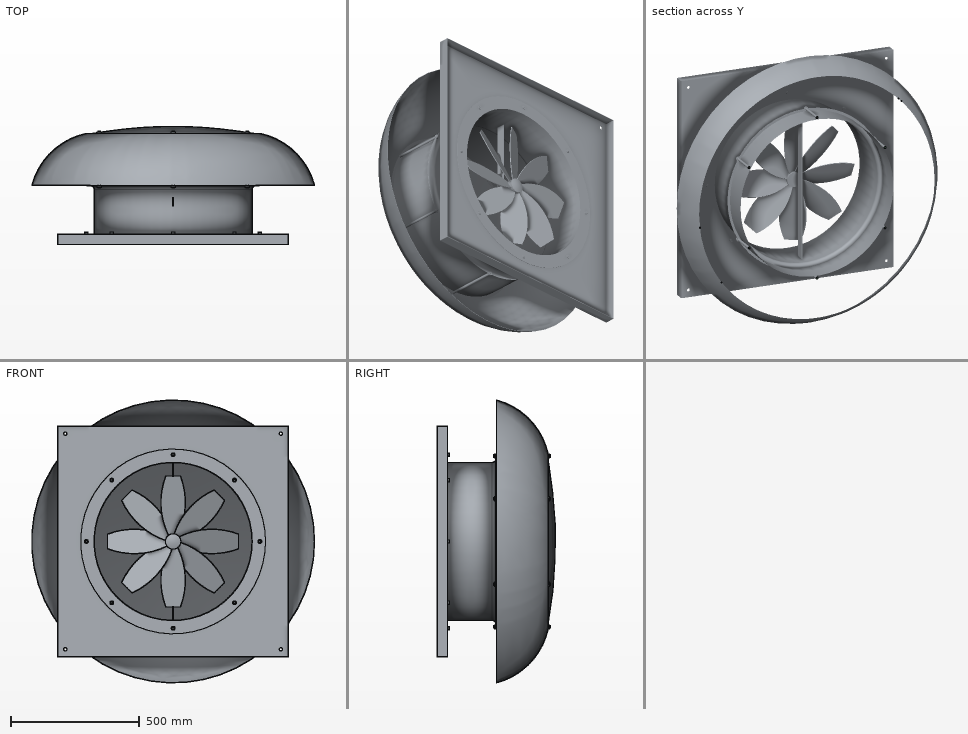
import cadquery as cq
import math


SHEET = 1.5

BASE_SIDE = 900.0
BASE_HEIGHT = 41.5
CORNER_HOLE_DIAMETER = 12.0
CORNER_HOLE_SPACING = 840.0

DUCT_RADIUS = 308.5
DUCT_BORE_RADIUS = DUCT_RADIUS - SHEET
FOOT_RADIUS = 360.0
FOOT_TOP = BASE_HEIGHT - SHEET
FLARE_START = 214.5
FLARE_OUTER_RADIUS = 14.0
OUTLET_TOP = FLARE_START + FLARE_OUTER_RADIUS + SHEET
OUTLET_RADIUS = 335.0

HOOD_LIP_RADIUS = 551.445
HOOD_LIP_Y = 231.0
HOOD_MID_RADIUS = 450.0
HOOD_MID_Y = 383.0
HOOD_TOP_RADIUS = 337.0
HOOD_TOP_Y = 434.0
DOME_RADIUS = 314.0
HOOD_OPENING_RADIUS = 310.0
TOTAL_HEIGHT = 462.4

GUARD_RADIUS = 325.0
ROD_COUNT = 6
ROD_CIRCLE_RADIUS = 333.0
ROD_DIAMETER = 10.0
NUT_DIAMETER = 17.0
NUT_HEIGHT = 5.0
ROD_END_LENGTH = 3.0

FOOT_BOLT_COUNT = 8
FOOT_BOLT_CIRCLE_RADIUS = 338.0
FOOT_BOLT_DIAMETER = 13.0
FOOT_BOLT_HEIGHT = 7.0
FOOT_BOLT_HEAD_DIAMETER = 15.0
FOOT_BOLT_HEAD_HEIGHT = 3.0
FOOT_BOLT_END_DIAMETER = 8.0
FOOT_BOLT_END_LENGTH = 3.0

STRUT_START = 150.0
STRUT_WIDTH = 34.0
STRUT_THICKNESS = 4.0

BLADE_COUNT = 8
BLADE_PITCH = 30.0
BLADE_THICKNESS = 3.0
BLADE_TIP_RADIUS = 255.0
BLADE_TIP_HALF_WIDTH = 33.0
BLADE_MID_RADIUS = 120.0
BLADE_MID_HALF_WIDTH = 53.0
BLADE_ROOT_RADIUS = 24.0
BLADE_ROOT_HALF_WIDTH = 21.0
HUB_RADIUS = 30.0
HUB_FRONT = 75.0
HUB_NOSE_HEIGHT = 6.0
HUB_LENGTH = 36.0


def revolve_about_y(profile):
    """Turn a closed (radius, Y) profile about the Y axis."""
    return profile.close().revolve(360, (0, 0, 0), (0, 1, 0))


def cylinder(radius, start, end):
    """Solid cylinder on the Y axis from Y = start to Y = end."""
    return cq.Workplane("XZ", origin=(0, start, 0)).circle(radius).extrude(start - end)


def ring(outer_radius, inner_radius, start, end):
    """Flat ring or tube on the Y axis."""
    return cylinder(outer_radius, start, end).cut(cylinder(inner_radius, start, end))


def around_axis(body, count, radius):
    """Copies of an on-axis body, evenly spaced on a circle, the first one on +Z."""
    copies = []
    for index in range(count):
        angle = index * 360.0 / count
        copies.append(body.translate((0, 0, radius)).rotate((0, 0, 0), (0, 1, 0), angle))
    return copies


def make_base():
    tray = cq.Workplane("XY").box(BASE_SIDE, BASE_HEIGHT, BASE_SIDE, centered=(True, False, True))
    cavity_side = BASE_SIDE - 2 * SHEET
    cavity = cq.Workplane("XY").box(cavity_side, FOOT_TOP, cavity_side, centered=(True, False, True))
    holes = (
        cq.Workplane("XZ")
        .rect(CORNER_HOLE_SPACING, CORNER_HOLE_SPACING, forConstruction=True)
        .vertices()
        .circle(CORNER_HOLE_DIAMETER / 2)
        .extrude(-BASE_HEIGHT)
    )
    return tray.cut(cavity).cut(holes).cut(cylinder(DUCT_BORE_RADIUS, 0, BASE_HEIGHT))


def make_duct():
    foot = ring(FOOT_RADIUS, DUCT_BORE_RADIUS, FOOT_TOP - SHEET, FOOT_TOP)
    flare_center_radius = DUCT_RADIUS + FLARE_OUTER_RADIUS
    flare_inner_radius = FLARE_OUTER_RADIUS + SHEET
    diagonal = math.sqrt(0.5)
    wall = revolve_about_y(
        cq.Workplane("XY")
        .moveTo(DUCT_BORE_RADIUS, FOOT_TOP - SHEET)
        .lineTo(DUCT_RADIUS, FOOT_TOP - SHEET)
        .lineTo(DUCT_RADIUS, FLARE_START)
        .threePointArc(
            (
                flare_center_radius - FLARE_OUTER_RADIUS * diagonal,
                FLARE_START + FLARE_OUTER_RADIUS * diagonal,
            ),
            (flare_center_radius, OUTLET_TOP - SHEET),
        )
        .lineTo(OUTLET_RADIUS, OUTLET_TOP - SHEET)
        .lineTo(OUTLET_RADIUS, OUTLET_TOP)
        .lineTo(flare_center_radius, OUTLET_TOP)
        .threePointArc(
            (
                flare_center_radius - flare_inner_radius * diagonal,
                FLARE_START + flare_inner_radius * diagonal,
            ),
            (DUCT_BORE_RADIUS, FLARE_START),
        )
    )
    return wall.union(foot)


def make_foot_bolts():
    foot_face = FOOT_TOP - SHEET
    head_face = foot_face - FOOT_BOLT_HEAD_HEIGHT
    bolt = cylinder(FOOT_BOLT_DIAMETER / 2, foot_face, BASE_HEIGHT + FOOT_BOLT_HEIGHT)
    bolt = bolt.union(cylinder(FOOT_BOLT_HEAD_DIAMETER / 2, head_face, foot_face))
    bolt = bolt.union(cylinder(FOOT_BOLT_END_DIAMETER / 2, head_face - FOOT_BOLT_END_LENGTH, head_face))
    return around_axis(bolt, FOOT_BOLT_COUNT, FOOT_BOLT_CIRCLE_RADIUS)


def make_strut():
    return (
        cq.Workplane("XY", origin=(0, STRUT_START, 0))
        .box(STRUT_THICKNESS, STRUT_WIDTH, 2 * DUCT_RADIUS, centered=(True, False, True))
    )


def make_hood():
    shell = revolve_about_y(
        cq.Workplane("XY")
        .moveTo(HOOD_LIP_RADIUS, HOOD_LIP_Y)
        .threePointArc((HOOD_MID_RADIUS, HOOD_MID_Y), (HOOD_TOP_RADIUS, HOOD_TOP_Y))
        .lineTo(HOOD_OPENING_RADIUS, HOOD_TOP_Y)
        .lineTo(HOOD_OPENING_RADIUS, HOOD_TOP_Y - SHEET)
        .lineTo(HOOD_TOP_RADIUS, HOOD_TOP_Y - SHEET)
        .threePointArc(
            (HOOD_MID_RADIUS - SHEET, HOOD_MID_Y - SHEET),
            (HOOD_LIP_RADIUS - SHEET, HOOD_LIP_Y),
        )
    )
    return shell.union(make_dome())


def make_dome():
    """Shallow spherical cap that closes the round opening in the hood's top."""
    rise = TOTAL_HEIGHT - HOOD_TOP_Y
    sphere_radius = (DOME_RADIUS**2 + rise**2) / (2 * rise)
    center = cq.Vector(0, TOTAL_HEIGHT - sphere_radius, 0)
    outside = cq.Workplane("XY").sphere(sphere_radius).translate(center)
    inside = cq.Workplane("XY").sphere(sphere_radius - SHEET).translate(center)
    slab = cylinder(DOME_RADIUS, HOOD_TOP_Y - SHEET, TOTAL_HEIGHT)
    return slab.intersect(outside).cut(inside)


def make_guard():
    return ring(GUARD_RADIUS, GUARD_RADIUS - SHEET, OUTLET_TOP - SHEET, HOOD_TOP_Y)


def make_tie_rods():
    """Rods from the duct outlet to the hood, with a nut at each end."""
    lower_face = OUTLET_TOP - SHEET
    nut_bottom = lower_face - NUT_HEIGHT
    nut_top = HOOD_TOP_Y + NUT_HEIGHT
    rod = cylinder(ROD_DIAMETER / 2, nut_bottom - ROD_END_LENGTH, nut_top + ROD_END_LENGTH)
    rod = rod.union(cylinder(NUT_DIAMETER / 2, nut_bottom, lower_face))
    rod = rod.union(cylinder(NUT_DIAMETER / 2, HOOD_TOP_Y - SHEET, nut_top))
    return around_axis(rod, ROD_COUNT, ROD_CIRCLE_RADIUS)


def make_housing():
    housing = make_base()
    parts = [make_duct(), make_strut(), make_guard(), make_hood()]
    for part in parts + make_foot_bolts() + make_tie_rods():
        housing = housing.union(part)
    return housing


def make_blade():
    """Flat blade along +Z, turned about its own length by the pitch angle."""
    return (
        cq.Workplane("XZ")
        .moveTo(-BLADE_ROOT_HALF_WIDTH, BLADE_ROOT_RADIUS)
        .threePointArc(
            (-BLADE_MID_HALF_WIDTH, BLADE_MID_RADIUS),
            (-BLADE_TIP_HALF_WIDTH, BLADE_TIP_RADIUS),
        )
        .lineTo(BLADE_TIP_HALF_WIDTH, BLADE_TIP_RADIUS)
        .threePointArc(
            (BLADE_MID_HALF_WIDTH, BLADE_MID_RADIUS),
            (BLADE_ROOT_HALF_WIDTH, BLADE_ROOT_RADIUS),
        )
        .close()
        .extrude(BLADE_THICKNESS / 2, both=True)
        .rotate((0, 0, 0), (0, 0, 1), BLADE_PITCH)
    )


def make_hub():
    """Short cylinder with a shallow domed nose toward -Y."""
    sphere_radius = (HUB_RADIUS**2 + HUB_NOSE_HEIGHT**2) / (2 * HUB_NOSE_HEIGHT)
    nose_center = HUB_FRONT - HUB_NOSE_HEIGHT + sphere_radius
    nose_middle_radius = HUB_RADIUS / 2
    nose_middle_y = nose_center - math.sqrt(sphere_radius**2 - nose_middle_radius**2)
    return revolve_about_y(
        cq.Workplane("XY")
        .moveTo(0, HUB_FRONT - HUB_NOSE_HEIGHT)
        .threePointArc((nose_middle_radius, nose_middle_y), (HUB_RADIUS, HUB_FRONT))
        .lineTo(HUB_RADIUS, HUB_FRONT + HUB_LENGTH)
        .lineTo(0, HUB_FRONT + HUB_LENGTH)
    )


def make_fan():
    fan = make_hub()
    blade_center_y = HUB_FRONT + HUB_LENGTH / 2
    blade = make_blade().translate((0, blade_center_y, 0))
    for copy in around_axis(blade, BLADE_COUNT, 0):
        fan = fan.union(copy)
    return fan


housing = make_housing()
fan = make_fan()

result = cq.Compound.makeCompound([housing.val(), fan.val()])